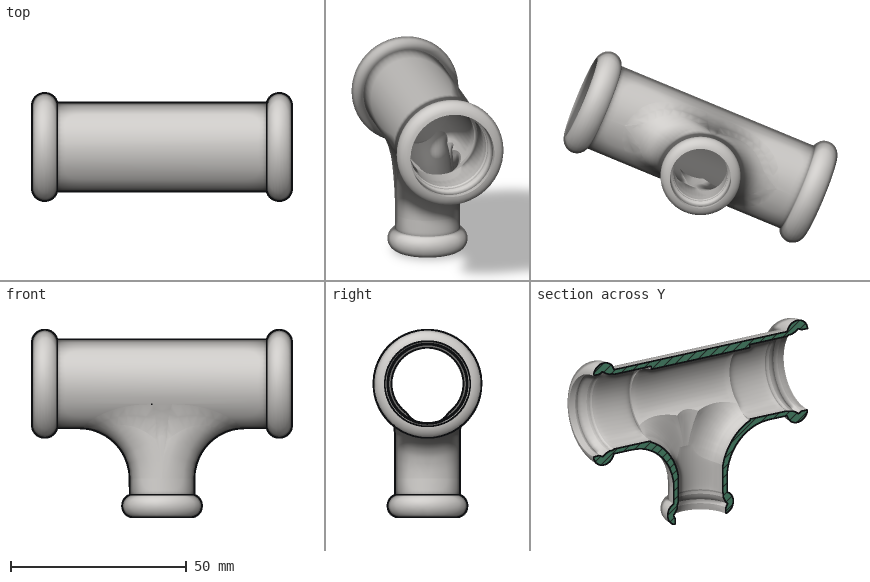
import cadquery as cq

run_length = 74.0
branch_length = 38.0

run_wall = 2.5
branch_wall = 1.9

run_outer_dia = 25.4
run_bead_dia = 30.8
run_bead_width = 7.2
run_lip_dia = 24.3
run_entry_dia = 22.9
run_socket_dia = 22.3

branch_outer_dia = 18.5
branch_bead_dia = 22.8
branch_bead_width = 6.4
branch_lip_dia = 17.4
branch_entry_dia = 15.7
branch_socket_dia = 15.3

socket_depth = 20.0
flare_radius = 14.3
side_blend_radius = 20.0
groove_undercut = 0.55
groove_sagitta = 0.12

lip_share = 0.29
groove_start_share = 0.45
groove_end_share = 0.78
entry_end_share = 0.92

run_tube_length = run_length - 2 * run_bead_width
branch_tube_length = branch_length - branch_bead_width

run_bore_dia = run_outer_dia - 2 * run_wall
branch_bore_dia = branch_outer_dia - 2 * branch_wall
inner_flare_radius = flare_radius + branch_wall


def bead_ring(lip_dia, tube_dia, bead_dia, width):
    """Solid bulged end, open end at Z = 0 and growing along +Z."""
    profile = (
        cq.Workplane("XZ")
        .lineTo(lip_dia / 2, 0)
        .threePointArc((bead_dia / 2, width / 2), (tube_dia / 2, width))
        .lineTo(0, width)
        .close()
    )
    return profile.revolve(360, (0, 0, 0), (0, 1, 0))


def socket_cavity(lip_dia, entry_dia, socket_dia, width):
    """Lip opening, hollow seal groove, entry and pipe socket, open end at Z = 0."""
    lip = lip_dia / 2
    entry = entry_dia / 2
    socket = socket_dia / 2
    profile = (
        cq.Workplane("XZ")
        .lineTo(lip, 0)
        .lineTo(lip, lip_share * width)
        .lineTo(lip + groove_undercut, groove_start_share * width)
        .sagittaArc((entry, groove_end_share * width), groove_sagitta)
        .lineTo(entry, entry_end_share * width)
        .lineTo(socket, width)
        .lineTo(socket, socket_depth)
        .lineTo(0, socket_depth)
        .close()
    )
    return profile.revolve(360, (0, 0, 0), (0, 1, 0))


def flared_tee(run_dia, branch_dia, bend_radius):
    """Solid tee: run and branch joined by two swept elbows."""
    run = cq.Workplane("YZ").circle(run_dia / 2).extrude(run_tube_length / 2, both=True)
    branch = cq.Workplane("XY").circle(branch_dia / 2).extrude(-branch_tube_length)

    bend_x = branch_dia / 2 + bend_radius
    bend_z = -(run_dia / 2 + bend_radius)
    elbow = (
        cq.Workplane("XY", origin=(0, 0, bend_z))
        .circle(branch_dia / 2)
        .revolve(90, (bend_x, 0, 0), (bend_x, 1, 0))
    )
    return run.union(elbow.union(elbow.mirror("YZ"))).union(branch)


def outer_tee():
    """Outside of the tee, its flank creases blended."""
    half_width = run_outer_dia / 2
    crease_reach = branch_outer_dia / 2 + flare_radius
    creases = cq.selectors.BoxSelector(
        (-crease_reach, -half_width, -half_width),
        (crease_reach, half_width, -half_width / 2),
    )
    tee = flared_tee(run_outer_dia, branch_outer_dia, flare_radius)
    return tee.edges(creases).fillet(side_blend_radius)


def at_run_ends(shape):
    """Copies of an end feature placed on the -X and +X ends of the run."""
    left = shape.rotate((0, 0, 0), (0, 1, 0), 90).translate((-run_length / 2, 0, 0))
    return left.union(left.mirror("YZ"))


def at_branch_end(shape):
    """An end feature placed on the lower end of the branch."""
    return shape.translate((0, 0, -branch_length))


run_bead = bead_ring(run_lip_dia, run_outer_dia, run_bead_dia, run_bead_width)
branch_bead = bead_ring(branch_lip_dia, branch_outer_dia, branch_bead_dia, branch_bead_width)
body = (
    outer_tee()
    .union(at_run_ends(run_bead))
    .union(at_branch_end(branch_bead))
)

bore_length = run_length - 2 * socket_depth
bore_zone = cq.Workplane("XY").box(bore_length, run_length, 2 * branch_length)
flared_bore = flared_tee(run_bore_dia, branch_bore_dia, inner_flare_radius)
bore = flared_bore.intersect(bore_zone)
run_socket = socket_cavity(run_lip_dia, run_entry_dia, run_socket_dia, run_bead_width)
branch_socket = socket_cavity(
    branch_lip_dia, branch_entry_dia, branch_socket_dia, branch_bead_width
)

result = body.cut(bore).cut(at_run_ends(run_socket)).cut(at_branch_end(branch_socket))